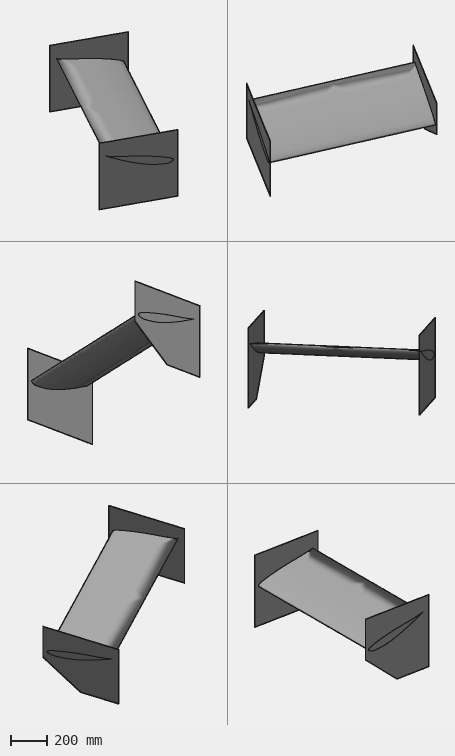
import cadquery as cq
import math

SPAN = 960.0
PLATE_SIDE = 450.0
PLATE_THICKNESS = 3.0

CUT_LENGTH = 224.0
CUT_HEIGHT = 196.0

CHORD = 399.5
INCIDENCE = 14.7
NOSE_SETBACK = 24.5
NOSE_DEPTH = 197.7

SECTION = [
    (0.025, 0.015, -0.042),
    (0.100, 0.029, -0.075),
    (0.300, 0.035, -0.101),
    (0.500, 0.030, -0.092),
    (0.750, 0.009, -0.055),
]

HALF_SPAN = SPAN / 2
HALF_SIDE = PLATE_SIDE / 2


def section_point(station, ordinate):
    """Place a chord-fraction point in the YZ plane, turned by the incidence."""
    angle = math.radians(INCIDENCE)
    aft = CHORD * (station * math.cos(angle) - ordinate * math.sin(angle))
    up = CHORD * (station * math.sin(angle) + ordinate * math.cos(angle))
    return HALF_SIDE - NOSE_SETBACK - aft, HALF_SIDE - NOSE_DEPTH + up


def wing_half(start_x):
    """Half of the wing, extruded toward +X from start_x."""
    trailing_edge = section_point(1, 0)
    upper = [section_point(station, high) for station, high, _ in reversed(SECTION)]
    nose = section_point(0, 0)
    lower = [section_point(station, low) for station, _, low in SECTION]
    outline = [trailing_edge, *upper, nose, *lower, trailing_edge]
    return cq.Workplane("YZ", origin=(start_x, 0, 0)).spline(outline).close().extrude(HALF_SPAN)


def end_plate(start_x):
    """Square end plate whose -X face lies at start_x."""
    plane = cq.Workplane("YZ", origin=(start_x, 0, 0))
    return plane.rect(PLATE_SIDE, PLATE_SIDE).extrude(PLATE_THICKNESS)


def corner_cut(start_x):
    """Triangular prism at the lower front (+Y, -Z) corner of a plate."""
    corner = [
        (HALF_SIDE, -HALF_SIDE),
        (HALF_SIDE, -HALF_SIDE + CUT_HEIGHT),
        (HALF_SIDE - CUT_LENGTH, -HALF_SIDE),
    ]
    return cq.Workplane("YZ", origin=(start_x, 0, 0)).polyline(corner).close().extrude(PLATE_THICKNESS)


wing = wing_half(-HALF_SPAN).union(wing_half(0), clean=False)

clipped_plate = end_plate(-HALF_SPAN).cut(corner_cut(-HALF_SPAN))
square_plate = end_plate(HALF_SPAN - PLATE_THICKNESS)

result = wing.union(clipped_plate, clean=False).union(square_plate, clean=False)